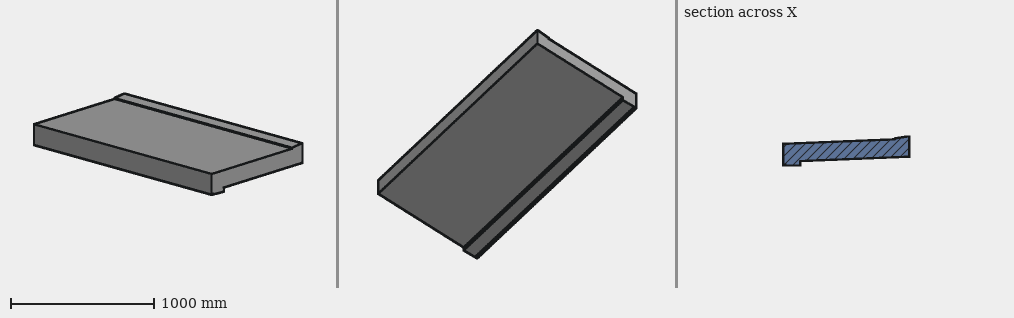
import math

import cadquery as cq

length = 1789.12
depth = 882.65
height = 203.2

nose_top = 152.4
slab_rise = 31.75
slab_thickness = 127
lip_depth = 120.65

curb_depth = 101.6
ledge_depth = 19.05
curb_step = 6.35

groove_setback = 12.7
groove_width = 6.35
groove_depth = 6.35

front = -depth / 2
back = depth / 2
lip_back = front + lip_depth
curb_front = back - curb_depth
ledge_front = back - ledge_depth

slab_slope = slab_rise / (curb_front - front)
vertical_thickness = slab_thickness * math.hypot(1, slab_slope)


def slab_top(y):
    """Height of the slab's sloping top at depth position y."""
    return nose_top + slab_slope * (y - front)


def slab_underside(y):
    """Height of the slab's sloping underside at depth position y."""
    return slab_top(y) - vertical_thickness


def side_profile():
    """Closed (Y, Z) outline of the part, constant along its length."""
    outline = [
        (front, 0),
        (lip_back, 0),
        (lip_back, slab_underside(lip_back)),
        (back, slab_underside(back)),
        (back, height),
        (ledge_front, height),
        (curb_front, slab_top(curb_front) + curb_step),
        (curb_front, slab_top(curb_front)),
        (front, nose_top),
    ]
    return cq.Workplane("YZ").polyline(outline).close()


def drip_groove():
    """Bar along X, centred on the bottom face, whose upper half is the groove."""
    section = cq.Workplane("YZ").center(front + groove_setback, 0).rect(groove_width, 2 * groove_depth)
    return section.extrude(length / 2, both=True)


sill = side_profile().extrude(length / 2, both=True)
result = sill.cut(drip_groove())